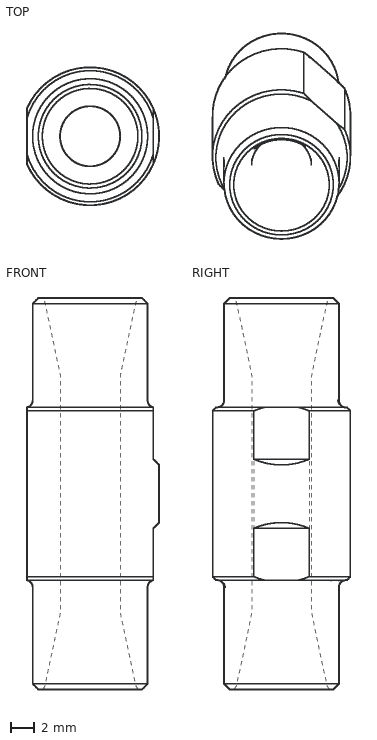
import cadquery as cq
import math

total_length = 34.0
body_length = 15.0
half_length = total_length / 2
half_body = body_length / 2

spigot_radius = 5.0
spigot_chamfer = 0.5
body_radius = 6.0
body_chamfer = 0.3
root_fillet = 0.6

flat_offset = 5.5
flat_depth = body_radius - flat_offset
pad_length = 5.0
pad_slope = math.radians(45)

bore_radius = 2.6
seat_radius = 3.95
seat_half_angle = math.radians(12)
mouth_radius = 4.15
mouth_half_angle = math.radians(30)
mouth_depth = (mouth_radius - seat_radius) / math.tan(mouth_half_angle)
seat_depth = (seat_radius - bore_radius) / math.tan(seat_half_angle)


def make_outside():
    """Revolved half profile of one end, mirrored about mid-length."""
    corner_radius = spigot_radius + root_fillet
    fillet_top = half_body + root_fillet
    arc_inset = root_fillet * (1 - math.sqrt(0.5))
    fillet_mid = (spigot_radius + arc_inset, half_body + arc_inset)
    half = (
        cq.Workplane("XZ")
        .lineTo(body_radius, 0)
        .lineTo(body_radius, half_body - body_chamfer)
        .lineTo(body_radius - body_chamfer, half_body)
        .lineTo(corner_radius, half_body)
        .threePointArc(fillet_mid, (spigot_radius, fillet_top))
        .lineTo(spigot_radius, half_length - spigot_chamfer)
        .lineTo(spigot_radius - spigot_chamfer, half_length)
        .lineTo(0, half_length)
        .close()
        .revolve(360, (0, 0, 0), (0, 1, 0))
    )
    return half.union(half.mirror("XY"))


def make_bore():
    """Through bore that opens into a chamfered conical seat at both ends."""
    seat_start = half_length - mouth_depth
    half = (
        cq.Workplane("XZ")
        .lineTo(bore_radius, 0)
        .lineTo(bore_radius, seat_start - seat_depth)
        .lineTo(seat_radius, seat_start)
        .lineTo(mouth_radius, half_length)
        .lineTo(0, half_length)
        .close()
        .revolve(360, (0, 0, 0), (0, 1, 0))
    )
    return half.union(half.mirror("XY"))


def make_flat():
    """Cutter for the -X flat; it also trims the root fillets, which reach past the flat."""
    return cq.Workplane("XY").box(flat_depth, 2 * body_radius, total_length).translate(
        (-flat_offset - flat_depth / 2, 0, 0)
    )


def make_relief(end):
    """Cutter for the +X flat beyond the central pad; end is +1 (upper) or -1 (lower)."""
    pad_end = pad_length / 2
    slope_end = pad_end + flat_depth / math.tan(pad_slope)
    return (
        cq.Workplane("XZ")
        .moveTo(body_radius, end * pad_end)
        .lineTo(flat_offset, end * slope_end)
        .lineTo(flat_offset, end * half_length)
        .lineTo(body_radius, end * half_length)
        .close()
        .extrude(body_radius, both=True)
    )


result = make_outside().cut(make_bore()).cut(make_flat())
for end in (1, -1):
    result = result.cut(make_relief(end))